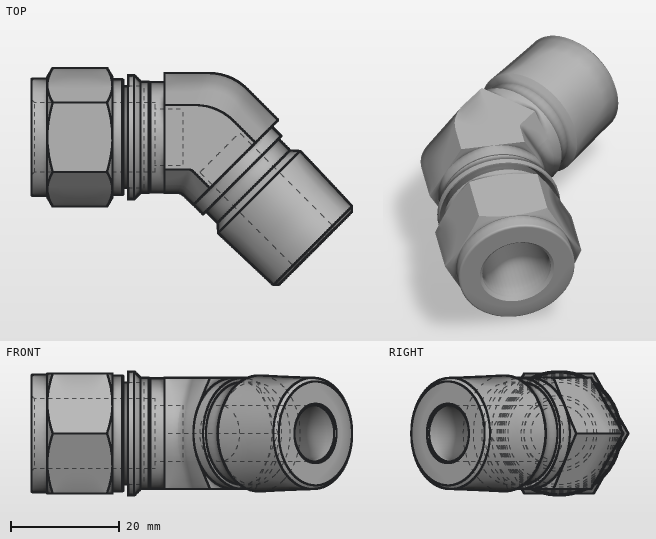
import cadquery as cq
import math

bend_angle = 45.0
elbow_flats = 20.6
elbow_reach = 7.4
outer_bend_radius = 11.6
inner_bend_radius = 1.5

tube_reach = 32.0
nut_flats = 22.225
nut_collar_diameter = 21.8
nut_collar_length = 2.9
nut_collar_round = 0.4
nut_hex_length = 12.15
nut_hex_face_diameter = 22.0
nut_chamfer_angle = 30.0
nut_rear_diameter = 21.5
nut_rear_length = 1.95
nut_rear_chamfer = 0.2
gap_diameter = 18.9
gap_length = 0.9
flange_diameter = 23.0
flange_length = 1.1
flange_cone_length = 1.2
flange_rim = 0.25
shoulder_diameter = 20.6
shoulder_length = 1.45
shoulder_chamfer = 0.35
neck_diameter = 20.5
tube_bore_diameter = 12.9
tube_bore_depth = 22.9
tube_bore_chamfer = 0.55

collar_diameter = 20.5
collar_length = 2.5
relief_diameter = 19.0
relief_length = 3.0
thread_diameter = 21.5
thread_lead_length = 1.4
thread_length = 14.04
thread_taper = 1 / 16
thread_end_chamfer = 0.7
passage_diameter = 10.41
passage_chamfer = 0.3

collar_end = elbow_reach + collar_length
relief_end = collar_end + relief_length
thread_start = relief_end + thread_lead_length
thread_end = thread_start + thread_length
outlet_reach = thread_end + thread_end_chamfer

passage_stop = 4.0

hex_half_angle = math.radians(30)
miter_tolerance = 1e-3


def revolve_arm(stations):
    """Turn (distance along -X, radius) stations about the X axis."""
    start = stations[0][0]
    end = stations[-1][0]
    points = [(-start, 0)] + [(-x, r) for x, r in stations] + [(-end, 0)]
    return cq.Workplane("XY").polyline(points).close().revolve(360, (0, 0, 0), (1, 0, 0))


def turn_to_outlet(arm):
    """Move an arm built along -X onto the outlet axis."""
    return arm.rotate((0, 0, 0), (0, 0, 1), 180 - bend_angle)


def make_elbow():
    """Mitred hexagonal bar with the inner corner rounded to its inscribed circle."""
    apothem = elbow_flats / 2
    corner = apothem / math.cos(hex_half_angle)
    tangent_y = -apothem * math.cos(hex_half_angle)
    tangent_z = apothem * math.sin(hex_half_angle)
    section = (
        cq.Workplane("YZ", origin=(-elbow_reach, 0, 0))
        .moveTo(corner, 0)
        .lineTo(corner / 2, apothem)
        .lineTo(-corner / 2, apothem)
        .lineTo(tangent_y, tangent_z)
        .threePointArc((-apothem, 0), (tangent_y, -tangent_z))
        .lineTo(-corner / 2, -apothem)
        .lineTo(corner / 2, -apothem)
        .close()
    )
    angle = math.radians(bend_angle)
    outlet_end = (elbow_reach * math.cos(angle), -elbow_reach * math.sin(angle))
    path = cq.Workplane("XY").polyline([(-elbow_reach, 0), (0, 0), outlet_end])
    bar = section.sweep(path, transition="right").clean()

    miter_x = math.tan(angle / 2)

    def on_miter(edge):
        return all(abs(v.X - miter_x * v.Y) < miter_tolerance for v in edge.Vertices())

    miter_edges = bar.edges().filter(on_miter)
    outer_edges = miter_edges.filter(lambda edge: edge.Center().y > 0)
    bar = bar.newObject(outer_edges.vals()).fillet(outer_bend_radius)
    inner_edges = bar.edges().filter(on_miter).filter(lambda edge: edge.Center().y < 0)
    return bar.newObject(inner_edges.vals()).fillet(inner_bend_radius)


def make_nut():
    """Hexagonal nut with both ends chamfered, a rounded front collar and a rear collar."""
    hex_front = tube_reach - nut_collar_length
    hex_rear = hex_front - nut_hex_length
    corner = nut_flats / 2 / math.cos(hex_half_angle)
    face_radius = nut_hex_face_diameter / 2
    chamfer_length = (corner - face_radius) * math.tan(math.radians(nut_chamfer_angle))
    hexagon = (
        cq.Workplane("YZ", origin=(-hex_front, 0, 0))
        .polygon(6, 2 * corner)
        .extrude(nut_hex_length)
    )
    envelope = revolve_arm([
        (hex_front, face_radius),
        (hex_front - chamfer_length, corner),
        (hex_rear + chamfer_length, corner),
        (hex_rear, face_radius),
    ])
    collar = (
        cq.Workplane("YZ", origin=(-tube_reach, 0, 0))
        .circle(nut_collar_diameter / 2)
        .extrude(nut_collar_length)
        .faces("<X").edges().fillet(nut_collar_round)
    )
    rear = (
        cq.Workplane("YZ", origin=(-hex_rear, 0, 0))
        .circle(nut_rear_diameter / 2)
        .extrude(nut_rear_length)
        .faces(">X").edges().chamfer(nut_rear_chamfer)
    )
    return hexagon.intersect(envelope).union(collar).union(rear)


def make_tube_body():
    """Stepped round body between the nut and the elbow, its flange hollowed parallel to its outside."""
    gap_start = tube_reach - nut_collar_length - nut_hex_length - nut_rear_length
    flange_start = gap_start - gap_length
    cone_start = flange_start - flange_length
    shoulder_start = cone_start - flange_cone_length
    shoulder_end = shoulder_start - shoulder_length
    neck_start = shoulder_end - shoulder_chamfer
    recess_radius = flange_diameter / 2 - flange_rim
    cone_slope = (flange_diameter - shoulder_diameter) / 2 / flange_cone_length
    recess_end = cone_start - (recess_radius - gap_diameter / 2) / cone_slope
    return revolve_arm([
        (gap_start, gap_diameter / 2),
        (recess_end, gap_diameter / 2),
        (cone_start, recess_radius),
        (flange_start, recess_radius),
        (flange_start, flange_diameter / 2),
        (cone_start, flange_diameter / 2),
        (shoulder_start, shoulder_diameter / 2),
        (shoulder_end, shoulder_diameter / 2),
        (neck_start, shoulder_diameter / 2 - shoulder_chamfer),
        (neck_start, neck_diameter / 2),
        (elbow_reach, neck_diameter / 2),
    ])


def make_threaded_arm():
    """Collar, thread relief and tapered thread blank on the outlet axis."""
    thread_end_radius = (thread_diameter - thread_taper * thread_length) / 2
    return turn_to_outlet(revolve_arm([
        (elbow_reach, collar_diameter / 2),
        (collar_end, collar_diameter / 2),
        (collar_end, relief_diameter / 2),
        (relief_end, relief_diameter / 2),
        (thread_start, thread_diameter / 2),
        (thread_end, thread_end_radius),
        (outlet_reach, thread_end_radius - thread_end_chamfer),
    ]))


def make_tube_bore():
    """Tube socket with a chamfered mouth, stepping down to the flow passage."""
    socket_radius = tube_bore_diameter / 2
    socket_end = tube_reach - tube_bore_depth
    return revolve_arm([
        (tube_reach, socket_radius + tube_bore_chamfer),
        (tube_reach - tube_bore_chamfer, socket_radius),
        (socket_end, socket_radius),
        (socket_end, passage_diameter / 2),
        (passage_stop, passage_diameter / 2),
    ])


def make_outlet_bore():
    """Flow passage of the threaded arm with a chamfered mouth."""
    radius = passage_diameter / 2
    return turn_to_outlet(revolve_arm([
        (outlet_reach, radius + passage_chamfer),
        (outlet_reach - passage_chamfer, radius),
        (passage_stop, radius),
    ]))


result = (
    make_elbow()
    .union(make_tube_body())
    .union(make_nut())
    .union(make_threaded_arm())
    .cut(make_tube_bore())
    .cut(make_outlet_bore())
)